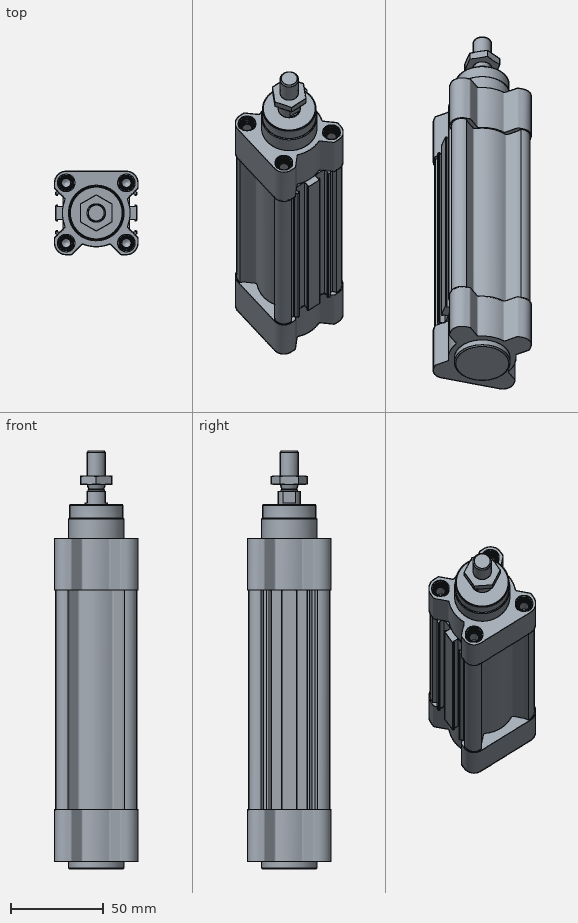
import cadquery as cq
import math

total_height = 225.0
base_height = 4.0
cap_height = 28.0
top_cap_bottom = 150.1
top_cap_top = top_cap_bottom + cap_height
bottom_cap_top = base_height + cap_height
collar_step = 188.5
collar_top = 196.3
flats_bottom = 197.2
shoulder = 203.3
neck_top = 204.0
undercut_bottom = 204.6
nut_bottom = 207.0
nut_height = 4.5

cap_size = 45.0
cap_corner_radius = 6.3
cap_core_radius = 18.2
cap_notch_width = 26.5
cap_notch_fillet = 1.0
cap_post_fillet = 1.4
notch_overlap = 2.3

barrel_size = 43.7
barrel_half = barrel_size / 2
barrel_corner_radius = cap_corner_radius - (cap_size - barrel_size) / 2
barrel_core_radius = 17.5
post_half_gap = 15.3
post_knee = 14.0
post_knee_offset = 19.8
barrel_notch_fillet = 1.1

slot_floor = 18.0
slot_mouth_depth = 1.0
slot_mouth_chamfer = 0.5
rail_half_width = 4.3
rail_neck_half_width = 3.5
lip_inner = 9.5
lip_outer = 11.0
lip_end = 12.4
slot_wall = 10.1

spigot_diameter = 30.0
spigot_chamfer = 0.7
scraper_diameter = 28.8
scraper_waist = 0.11
scraper_chamfer = 0.5

hole_spacing = 32.5
hole_diameters = (9.5, 8.0, 7.2, 6.0)
hole_step_depth = 1.1
bore_diameter = 5.0
bore_depth = 13.5
drill_tip_length = 1.4

rod_diameter = 12.0
flats_width = 10.0
stud_diameter = 10.0
neck_diameter = 9.0
undercut_diameter = 8.0
stud_tip_diameter = 8.5
stud_tip_length = 1.0
nut_width = 16.9
nut_corner_drop = 0.2


def square_block(size, corner_radius, bottom, height):
    block = cq.Workplane("XY").workplane(offset=bottom).rect(size, size).extrude(height)
    return block.edges("|Z").fillet(corner_radius)


def cylinder(radius, bottom, height):
    return cq.Workplane("XY").workplane(offset=bottom).circle(radius).extrude(height)


def notch(half_outline, core_radius, bottom, height):
    """Notch in the -Y side: a mirrored outline that stops at the round core wall."""
    left_outline = [(-x, y) for x, y in half_outline]
    outline = left_outline + list(reversed(half_outline))
    cutter = cq.Workplane("XY").workplane(offset=bottom).polyline(outline).close().extrude(height)
    return cutter.cut(cylinder(core_radius, bottom, height))


def turned(point, angle):
    """Turn a plan point about the cylinder axis by an angle in degrees."""
    x, y = point
    c = math.cos(math.radians(angle))
    s = math.sin(math.radians(angle))
    return (x * c - y * s, x * s + y * c)


def fillet_uprights(body, points, middle, radius):
    """Round the vertical edges that pass through the given plan points."""
    for x, y in points:
        body = body.edges(cq.NearestToPointSelector((x, y, middle))).fillet(radius)
    return body


def core_corner(core_radius, offset):
    """Point where the 45 degree line y = -(x + offset) meets the round core wall."""
    x = (math.sqrt(2 * core_radius**2 - offset**2) - offset) / 2
    return (x, -x - offset)


def mirrored(point):
    """The point and its mirror image on the other side of the Y axis."""
    x, y = point
    return [(x, y), (-x, y)]


def end_cap(bottom):
    """Square cap with notches on three sides and a plain +Y side."""
    half = cap_size / 2
    post_edge = (cap_notch_width / 2, -half)
    inner = core_corner(cap_core_radius, half - post_edge[0])
    root = (inner[0] - notch_overlap, inner[1] + notch_overlap)
    cutter = notch([post_edge, root], cap_core_radius, bottom, cap_height)
    cap = square_block(cap_size, cap_corner_radius, bottom, cap_height)
    middle = bottom + cap_height / 2
    for angle in (0, 90, -90):
        cap = cap.cut(cutter.rotate((0, 0, 0), (0, 0, 1), angle))
        inner_points = [turned(p, angle) for p in mirrored(inner)]
        outer_points = [turned(p, angle) for p in mirrored(post_edge)]
        cap = fillet_uprights(cap, inner_points, middle, cap_notch_fillet)
        cap = fillet_uprights(cap, outer_points, middle, cap_post_fillet)
    return cap


def sensor_slot(height):
    """T-slot and the groove beside its lip, on the +X side at positive Y."""
    mouth = barrel_half - slot_mouth_depth
    slot = [
        (barrel_half, rail_half_width - slot_mouth_chamfer),
        (barrel_half - slot_mouth_chamfer, rail_half_width),
        (mouth, rail_half_width),
        (mouth, rail_neck_half_width),
        (slot_floor, rail_neck_half_width),
        (slot_floor, slot_wall),
        (mouth, slot_wall),
        (mouth, lip_inner),
        (barrel_half - slot_mouth_chamfer, lip_inner),
        (barrel_half, lip_inner + slot_mouth_chamfer),
    ]
    groove = [
        (barrel_half, lip_outer),
        (barrel_half - (lip_end - lip_outer), lip_end),
        (post_knee_offset, lip_end),
        (post_knee_offset, post_knee),
        (barrel_half, post_half_gap),
    ]
    plane = cq.Workplane("XY").workplane(offset=bottom_cap_top)
    slot_cutter = plane.polyline(slot).close().extrude(height)
    return slot_cutter.union(plane.polyline(groove).close().extrude(height))


def barrel():
    height = top_cap_bottom - bottom_cap_top
    middle = bottom_cap_top + height / 2
    body = square_block(barrel_size, barrel_corner_radius, bottom_cap_top, height)
    inner = core_corner(barrel_core_radius, post_knee_offset - post_knee)
    root = (inner[0] - notch_overlap, inner[1] + notch_overlap)
    outline = [(post_half_gap, -barrel_half), (post_knee, -post_knee_offset), root]
    cutter = notch(outline, barrel_core_radius, bottom_cap_top, height)
    for angle in (0, 180):
        body = body.cut(cutter.rotate((0, 0, 0), (0, 0, 1), angle))
        points = [turned(p, angle) for p in mirrored(inner)]
        body = fillet_uprights(body, points, middle, barrel_notch_fillet)
    slots = sensor_slot(height)
    slots = slots.union(slots.mirror("XZ"))
    return body.cut(slots).cut(slots.mirror("YZ"))


def collar():
    """Round collar on the top cap with a slightly hollow scraper ring above it."""
    scraper_radius = scraper_diameter / 2
    wall_bottom = collar_step + scraper_chamfer
    wall_top = collar_top - scraper_chamfer
    return (
        cq.Workplane("XZ")
        .moveTo(0, top_cap_top)
        .lineTo(spigot_diameter / 2, top_cap_top)
        .lineTo(spigot_diameter / 2, collar_step)
        .lineTo(scraper_radius, wall_bottom)
        .threePointArc(
            (scraper_radius - scraper_waist, (wall_bottom + wall_top) / 2),
            (scraper_radius, wall_top),
        )
        .lineTo(scraper_radius - scraper_chamfer, collar_top)
        .lineTo(0, collar_top)
        .close()
        .revolve(360, (0, 0), (0, 1))
    )


def corner_hole():
    """Stepped blind hole with a conical drill tip, on the axis, cut from the top cap."""
    tip = top_cap_top - bore_depth
    hole = (
        cq.Workplane("XZ")
        .polyline([
            (0, top_cap_top),
            (bore_diameter / 2, top_cap_top),
            (bore_diameter / 2, tip),
            (0, tip - drill_tip_length),
        ])
        .close()
        .revolve(360, (0, 0), (0, 1))
    )
    for index, diameter in enumerate(hole_diameters):
        depth = (index + 1) * hole_step_depth
        hole = hole.union(cylinder(diameter / 2, top_cap_top - depth, depth))
    return hole


def make_housing():
    spigot = cylinder(spigot_diameter / 2, 0, base_height).faces("<Z").chamfer(spigot_chamfer)
    body = end_cap(base_height).union(spigot).union(barrel())
    body = body.union(end_cap(top_cap_bottom)).union(collar())
    hole = corner_hole()
    offset = hole_spacing / 2
    for x in (-offset, offset):
        for y in (-offset, offset):
            body = body.cut(hole.translate((x, y, 0)))
    rod_bore = cylinder(rod_diameter / 2, top_cap_top, collar_top - top_cap_top)
    return body.cut(rod_bore)


def make_rod():
    """Rod with two wrench flats, an undercut neck and a chamfered stud."""
    profile = [
        (0, top_cap_top),
        (rod_diameter / 2, top_cap_top),
        (rod_diameter / 2, shoulder),
        (neck_diameter / 2, shoulder),
        (neck_diameter / 2, neck_top),
        (undercut_diameter / 2, undercut_bottom),
        (stud_diameter / 2, nut_bottom),
        (stud_diameter / 2, total_height - stud_tip_length),
        (stud_tip_diameter / 2, total_height),
        (0, total_height),
    ]
    rod = cq.Workplane("XZ").polyline(profile).close().revolve(360, (0, 0), (0, 1))
    flats_height = shoulder - flats_bottom
    flats_plane = cq.Workplane("XY").workplane(offset=flats_bottom)
    outside_flats = flats_plane.rect(2 * rod_diameter, 2 * rod_diameter).extrude(flats_height)
    kept_middle = flats_plane.rect(flats_width, 2 * rod_diameter).extrude(flats_height)
    return rod.cut(outside_flats.cut(kept_middle))


def make_nut():
    """Hexagon nut, two flats facing along X, with conical chamfers on the corners of both ends."""
    flat_radius = nut_width / 2
    corner_radius = flat_radius / math.cos(math.pi / 6)
    nut_top = nut_bottom + nut_height
    hexagon = (
        cq.Workplane("XY")
        .workplane(offset=nut_bottom)
        .transformed(rotate=(0, 0, 90))
        .polygon(6, 2 * corner_radius)
        .circle(stud_diameter / 2)
        .extrude(nut_height)
    )
    chamfered_disc = (
        cq.Workplane("XZ")
        .polyline([
            (0, nut_bottom),
            (flat_radius, nut_bottom),
            (corner_radius, nut_bottom + nut_corner_drop),
            (corner_radius, nut_top - nut_corner_drop),
            (flat_radius, nut_top),
            (0, nut_top),
        ])
        .close()
        .revolve(360, (0, 0), (0, 1))
    )
    return hexagon.intersect(chamfered_disc)


housing = make_housing()
rod = make_rod()
nut = make_nut()

result = cq.Compound.makeCompound([housing.val(), rod.val(), nut.val()])